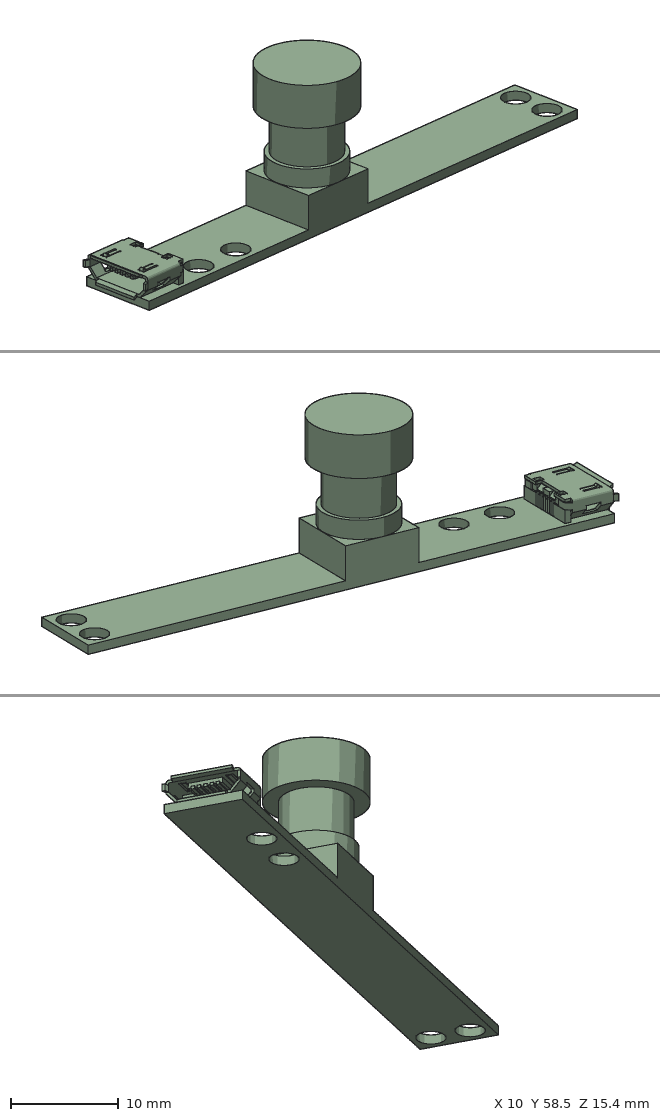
import cadquery as cq


board_width = 7.95
board_length = 58.0
overall_length = 58.5
board_thickness = 0.95

hole_diameter = 2.8
hole_offset_x = 2.0
end_hole_inset = hole_offset_x
end_hole_y = board_length - end_hole_inset
side_hole_y = 13.85
side_hole_pitch = 5.05

button_y = 25.6
block_length = 8.1
block_top = 4.45
collar_diameter = board_width
collar_top = 6.4
stem_diameter = 7.0
stem_top = 11.0
cap_diameter = 10.0
cap_top = 15.4

sheet = 0.3
shell_bottom = board_thickness
shell_top = 3.35
shell_half_width = 3.8
shell_bottom_half_width = 2.8
shell_knee_z = 2.0
shell_bend_radius = 0.35
tube_length = 4.5
shell_length = 5.15
cavity_top = shell_top - sheet
cavity_half_width = shell_half_width - sheet

window_front_y = 1.4
window_back_y = 3.0
window_bottom = 1.35
window_top = 2.35

spring_slot_x = 2.37
spring_slot_width = 0.75
spring_slot_front_y = 0.6
spring_slot_back_y = 2.5
spring_outer_gap = 0.25
spring_inner_gap = 0.09
spring_tip_gap = 0.1
spring_bump_length = 0.35
spring_bump_height = 0.2

rear_notch_half_width = 1.6
rear_notch_depth = 0.7
relief_inner_x = 1.65
relief_outer_x = 2.35
relief_front_y = 4.15
relief_back_y = 4.9

rear_tab_bottom = 2.3
rear_tab_top = 3.0
rear_tab_inner_x = 2.35
rear_bend_radius = shell_length - tube_length

top_lip_width = 6.2
top_lip_reach = 0.4
top_lip_rise = 0.2
bottom_lip_width = 4.9
bottom_lip_reach = 0.4
bottom_lip_drop = 0.25
side_lip_bottom = 2.1
side_lip_top = 2.8
side_lip_reach = overall_length - board_length
side_lip_spread = 0.2

core_front_y = 3.1
core_back_y = 5.0
core_slope_size = 0.45
core_rib_half_width = 0.5
foot_half_width = 3.5
foot_top = rear_tab_bottom
tongue_half_width = 1.75
tongue_front_y = 0.45
tongue_bottom = 2.35
tongue_top = 2.85

contact_count = 5
contact_pitch = 0.65
contact_width = 0.35
contact_thickness = 0.3
contact_bottom = 2.2
contact_top = contact_bottom + contact_thickness


def box(x0, x1, y0, y1, z0, z1):
    """Box between the given limits."""
    return cq.Workplane("XY").box(x1 - x0, y1 - y0, z1 - z0, centered=False).translate((x0, y0, z0))


def both_sides(feature):
    """The feature together with its mirror image across the centre line."""
    return [feature, feature.mirror("YZ")]


def button_step(diameter, bottom, top):
    """One cylindrical step of the push button."""
    return cq.Workplane("XY", origin=(0, button_y, bottom)).circle(diameter / 2).extrude(top - bottom)


def make_board():
    """Board with its four holes and the push button standing on it."""
    half_width = board_width / 2
    board = box(-half_width, half_width, 0, board_length, 0, board_thickness)
    hole_centres = [
        (-hole_offset_x, end_hole_y),
        (hole_offset_x, end_hole_y),
        (hole_offset_x, side_hole_y),
        (hole_offset_x, side_hole_y - side_hole_pitch),
    ]
    holes = cq.Workplane("XY").pushPoints(hole_centres).circle(hole_diameter / 2).extrude(board_thickness)
    half_block = block_length / 2
    block = box(-half_width, half_width, button_y - half_block, button_y + half_block, 0, block_top)
    collar = button_step(collar_diameter, block_top, collar_top)
    stem = button_step(stem_diameter, collar_top, stem_top)
    cap = button_step(cap_diameter, stem_top, cap_top)
    return board.cut(holes).union(block).union(collar).union(stem).union(cap)


def shell_profile(front_y, inset=0):
    """Outline across the shell, with sloped lower sides and rounded top corners."""
    bend_x = shell_half_width - shell_bend_radius
    bend_z = shell_top - shell_bend_radius
    outline = (
        cq.Workplane("XZ", origin=(0, front_y, 0))
        .moveTo(-shell_bottom_half_width, shell_bottom)
        .lineTo(shell_bottom_half_width, shell_bottom)
        .lineTo(shell_half_width, shell_knee_z)
        .lineTo(shell_half_width, bend_z)
        .radiusArc((bend_x, shell_top), -shell_bend_radius)
        .lineTo(-bend_x, shell_top)
        .radiusArc((-shell_half_width, bend_z), -shell_bend_radius)
        .lineTo(-shell_half_width, shell_knee_z)
        .close()
    )
    return outline.offset2D(-inset) if inset else outline


def make_cavity(front_y, back_y):
    """Solid that fills the inside of the shell between two positions along Y."""
    return shell_profile(front_y, sheet).extrude(front_y - back_y)


def make_roof_extension():
    """Flat rear overhang of the shell roof."""
    flat_half_width = shell_half_width - shell_bend_radius
    return box(-flat_half_width, flat_half_width, tube_length, shell_length, cavity_top, shell_top)


def make_rear_tab():
    """Tab that continues the right side wall and curls round the rear corner."""
    tab_height = rear_tab_top - rear_tab_bottom
    inner_bend_radius = rear_bend_radius - sheet
    bend_x = shell_half_width - rear_bend_radius
    bend_y = tube_length
    return (
        cq.Workplane("XY", origin=(0, 0, rear_tab_bottom))
        .moveTo(shell_half_width, bend_y)
        .radiusArc((bend_x, shell_length), -rear_bend_radius)
        .lineTo(rear_tab_inner_x, shell_length)
        .lineTo(rear_tab_inner_x, shell_length - sheet)
        .lineTo(bend_x, shell_length - sheet)
        .radiusArc((cavity_half_width, bend_y), inner_bend_radius)
        .close()
        .extrude(tab_height)
    )


def make_spring_slot():
    """Right-hand opening in the roof around a spring finger."""
    half_width = spring_slot_width / 2
    return box(
        spring_slot_x - half_width, spring_slot_x + half_width,
        spring_slot_front_y, spring_slot_back_y, cavity_top, shell_top,
    )


def make_spring_finger():
    """Right-hand spring finger, rooted at the rear of its slot with a raised bump at the tip."""
    inner_x = spring_slot_x - spring_slot_width / 2 + spring_inner_gap
    outer_x = spring_slot_x + spring_slot_width / 2 - spring_outer_gap
    tip_y = spring_slot_front_y + spring_tip_gap
    crest_y = tip_y + spring_bump_length / 2
    return (
        cq.Workplane("YZ", origin=(inner_x, 0, 0))
        .moveTo(spring_slot_back_y, cavity_top)
        .lineTo(spring_slot_back_y, shell_top)
        .lineTo(tip_y + spring_bump_length, shell_top)
        .threePointArc((crest_y, shell_top + spring_bump_height), (tip_y, shell_top))
        .lineTo(tip_y, cavity_top)
        .close()
        .extrude(outer_x - inner_x)
    )


def make_mouth_lip(width, outer_z, inner_z, reach, tip_shift):
    """Lip along the top or bottom of the mouth, bent away from the opening."""
    return (
        cq.Workplane("YZ", origin=(-width / 2, 0, 0))
        .polyline([
            (0, outer_z),
            (-reach, outer_z + tip_shift),
            (-reach, inner_z + tip_shift),
            (0, inner_z),
        ])
        .close()
        .extrude(width)
    )


def make_side_lip():
    """Lip on the right side of the mouth, bent outward."""
    return (
        cq.Workplane("XY", origin=(0, 0, side_lip_bottom))
        .polyline([
            (shell_half_width, 0),
            (shell_half_width + side_lip_spread, -side_lip_reach),
            (cavity_half_width + side_lip_spread, -side_lip_reach),
            (cavity_half_width, 0),
        ])
        .close()
        .extrude(side_lip_top - side_lip_bottom)
    )


def make_roof_openings():
    """Everything cut through the rear of the roof: the notch and the relief hole on each side."""
    notch = box(
        -rear_notch_half_width, rear_notch_half_width,
        shell_length - rear_notch_depth, shell_length, cavity_top, shell_top,
    )
    relief = box(relief_inner_x, relief_outer_x, relief_front_y, relief_back_y, cavity_top, shell_top)
    return [notch, *both_sides(relief)]


def make_shell():
    """Sheet-metal shell of the connector."""
    shell = shell_profile(0).extrude(-tube_length).cut(make_cavity(0, tube_length))
    shell = shell.union(make_roof_extension())
    for opening in make_roof_openings() + both_sides(make_spring_slot()):
        shell = shell.cut(opening)
    shell = shell.cut(box(
        -shell_half_width, shell_half_width,
        window_front_y, window_back_y, window_bottom, window_top,
    ))
    top_lip = make_mouth_lip(top_lip_width, shell_top, cavity_top, top_lip_reach, top_lip_rise)
    bottom_lip = make_mouth_lip(
        bottom_lip_width, shell_bottom, shell_bottom + sheet, bottom_lip_reach, -bottom_lip_drop
    )
    additions = [top_lip, bottom_lip]
    for feature in (make_side_lip(), make_rear_tab(), make_spring_finger()):
        additions += both_sides(feature)
    for addition in additions:
        shell = shell.union(addition)
    return shell


def make_contact(x):
    """Contact that runs under the tongue, through the core and down its rear face to the board."""
    return (
        cq.Workplane("YZ", origin=(x - contact_width / 2, 0, 0))
        .polyline([
            (tongue_front_y, contact_bottom),
            (tongue_front_y, contact_top),
            (shell_length, contact_top),
            (shell_length, board_thickness),
            (core_back_y, board_thickness),
            (core_back_y, contact_bottom),
        ])
        .close()
        .extrude(contact_width)
    )


def make_core_slope():
    """Wedge that bevels the top rear edge of the core in the notch, to the right of the middle rib."""
    return (
        cq.Workplane("YZ", origin=(core_rib_half_width, 0, 0))
        .moveTo(core_back_y, cavity_top)
        .lineTo(core_back_y - core_slope_size, cavity_top)
        .lineTo(core_back_y, cavity_top - core_slope_size)
        .close()
        .extrude(rear_notch_half_width - core_rib_half_width)
    )


def make_insulator(contacts):
    """Moulded core with its tongue and rear foot, seated inside the shell and grooved for the contacts."""
    core = make_cavity(core_front_y, core_back_y)
    tongue = box(
        -tongue_half_width, tongue_half_width,
        tongue_front_y, core_front_y, tongue_bottom, tongue_top,
    )
    tab_seat = box(
        rear_tab_inner_x, shell_half_width,
        tube_length, shell_length, rear_tab_bottom, rear_tab_top,
    )
    foot = box(
        -foot_half_width, foot_half_width,
        tube_length, shell_length, board_thickness, foot_top,
    )
    insulator = core.union(tongue).union(foot)
    for removed in both_sides(make_core_slope()) + both_sides(tab_seat) + contacts:
        insulator = insulator.cut(removed)
    return insulator


board = make_board()
shell = make_shell()
contacts = [
    make_contact((index - (contact_count - 1) / 2) * contact_pitch) for index in range(contact_count)
]
insulator = make_insulator(contacts)

result = cq.Compound.makeCompound([
    board.val(),
    shell.val(),
    insulator.val(),
    *[contact.val() for contact in contacts],
])